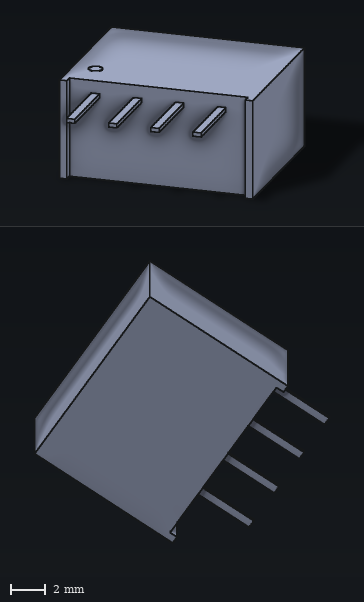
import cadquery as cq

housing_width = 11.67
housing_height = 6.0
lip_depth = 0.5
lip_width = 0.45

overall_length = 13.75
pin_count = 4
pin_pitch = 2.55
pin_width = 0.5
pin_thickness = 0.25
pin_length = 4.6
pin_below_top = 0.9

marker_radius = 0.41
marker_depth = 0.05
marker_from_side = 1.38
marker_from_front = 2.01

block_length = overall_length - pin_length
marker_x = marker_from_side - housing_width / 2
pin_z = housing_height / 2 - pin_below_top


def make_marker():
    return (
        cq.Workplane("XY", origin=(marker_x, marker_from_front, housing_height / 2 - marker_depth))
        .circle(marker_radius)
        .extrude(marker_depth)
    )


def make_housing():
    full_length = block_length + lip_depth
    block = cq.Workplane("XY").box(housing_width, full_length, housing_height, centered=(True, False, True))
    block = block.translate((0, -lip_depth, 0))
    recess_width = housing_width - 2 * lip_width
    recess = cq.Workplane("XY").box(recess_width, lip_depth, housing_height, centered=(True, False, True))
    recess = recess.translate((0, -lip_depth, 0))
    return block.cut(recess).cut(make_marker())


def make_pin(x):
    pin = cq.Workplane("XY").box(pin_width, pin_length, pin_thickness, centered=(True, False, True))
    return pin.translate((x, -pin_length, pin_z))


housing = make_housing()
marker = make_marker()
pins = []
for index in range(pin_count):
    pin_x = (index - (pin_count - 1) / 2) * pin_pitch
    pins.append(make_pin(pin_x))

result = cq.Compound.makeCompound([housing.val(), marker.val(), *[pin.val() for pin in pins]])